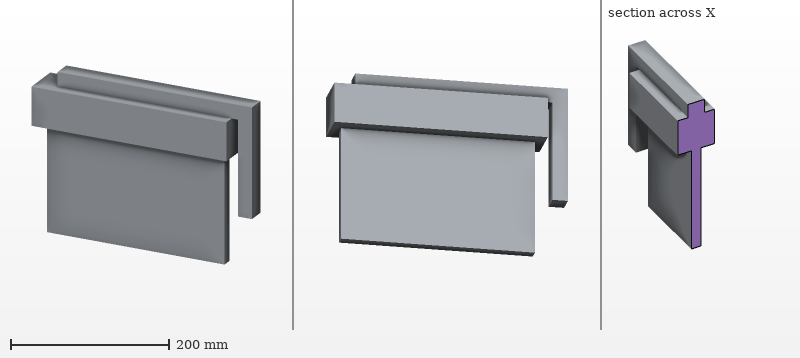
import cadquery as cq

total_length = 304.0
total_height = 223.0

bar_length = 275.0
bar_depth = 54.0

plate_length = 250.0
plate_thickness = 14.0
plate_height = 150.0

arm_start = 29.8
arm_thickness = 20.0
arm_depth = 25.0
leg_height = 152.0

bar_height = total_height - plate_height - arm_thickness


def block(x_start, z_start, length, depth, height):
    """Box centred on Y = 0 with its low X and Z faces at the given places."""
    return cq.Workplane("XY").box(length, depth, height, centered=(False, True, False)).translate(
        (x_start, 0, z_start)
    )


plate = block((bar_length - plate_length) / 2, 0, plate_length, plate_thickness, plate_height)
bar = block(0, plate_height, bar_length, bar_depth, bar_height)
arm = block(
    arm_start, total_height - arm_thickness, total_length - arm_start, arm_depth, arm_thickness
)
leg = block(
    total_length - arm_thickness, total_height - leg_height, arm_thickness, arm_depth, leg_height
)

result = bar.union(plate).union(arm).union(leg)